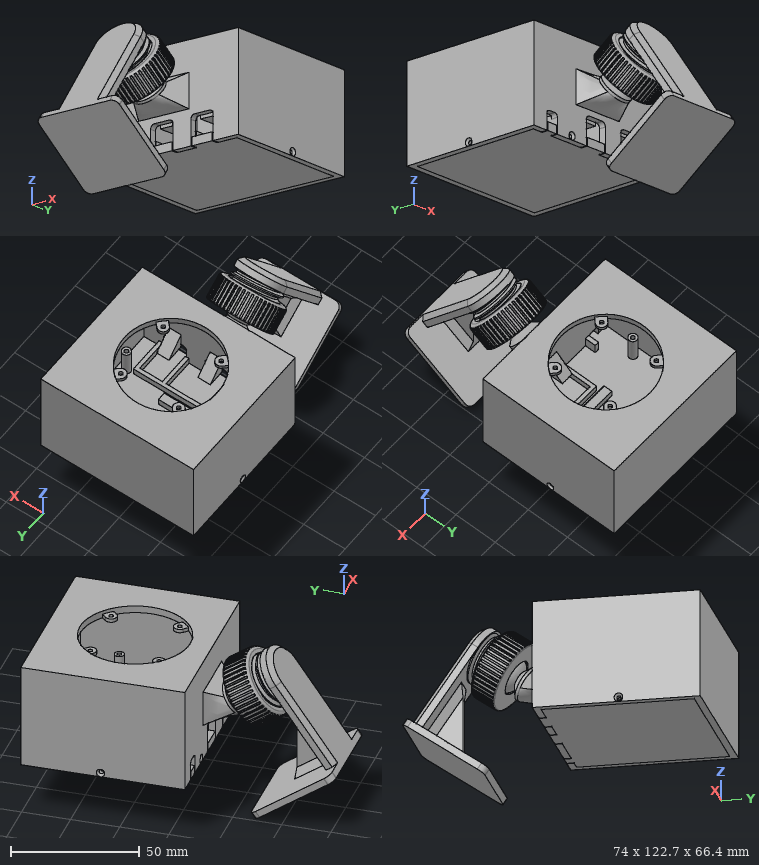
import cadquery as cq
import math

BOX_X = 74.0
BOX_Y = 67.0
BOX_Z = 44.0
WALL = 3.0

WINDOW_D = 45.0
WINDOW_Y = 31.5
TAB_OFFSET = 14.0
TAB_D = 5.0
TAB_THICKNESS = WALL / 2
TAB_HOLE_D = 1.8
TAB_ROOT = 1.0

SLIM_CUTOUT = (-26.4, 6.0, 8.7, 1.6)
PORT_CUTOUTS = (
    (-1.0, 11.0, 12.9, 1.9),
    (19.0, 11.0, 12.9, 1.9),
)
CUTOUTS = (SLIM_CUTOUT, *PORT_CUTOUTS)

GUIDE_THICKNESS = 2.0
GUIDE_REACH = 5.0

HOLD_DOWN_WIDTH = 6.0
HOLD_DOWN_REACH = 8.0
HOLD_DOWN_Z = 11.4

SCREW_HEAD_D = 3.4
SCREW_HOLE_D = 1.7
SCREW_HEAD_DEPTH = 1.0
SCREW_Z = 1.8
SIDE_SCREW_Y = 34.4
FRONT_SCREW_X = -14.8
SCREW_DEPTH = 8.0

LID_THICKNESS = 3.7
TONGUE_GAP = 0.5

POST_D = 4.0
POST_HOLE_D = 1.8
POST_HOLE_DEPTH = 8.0
POST_TOP_Z = 16.0
POST_SPACING_X = 60.0
POST_SPACING_Y = 27.0

FRAME_TOP_Z = 6.8
FRAME_WALL = 1.8
FRAME_BACK_Y = 19.9
FRAME_LEFT_X = -8.1
WIDE_POCKET = 18.5
PORT_POCKET = 10.9

STOP_X = 20.2
STOP_Y = 4.2
STOP_BACK_Y = 26.0
STOP_CHAMFER = 0.4

TILT = 35.0
PIVOT_Y = -18.69
PIVOT_Z = 29.66
AXIS = (0, -math.cos(math.radians(TILT)), math.sin(math.radians(TILT)))
JOINT = cq.Plane(origin=(0, PIVOT_Y, PIVOT_Z), xDir=(1, 0, 0), normal=AXIS)

FOOT_X = 25.0
FOOT_Z = 15.0
FOOT_CENTRE_Z = 23.0
BALL_D = 17.6
DISC_D = 14.93
DISC_BACK = -11.9
DISC_FRONT = -10.6
WAIST_Z = -7.8

NUT_D = 30.0
NUT_BACK = -5.9
NUT_FRONT = 5.9
NUT_FILLET = 1.8
NUT_BACK_FILLET = 0.5
NUT_BORE_D = 23.0
NUT_BACK_HOLE_D = 14.93
NUT_BACK_WALL = 2.0
KNURL_COUNT = 48
KNURL_WIDTH = 0.8
KNURL_DEPTH = 0.6
KNURL_FRONT_MARGIN = 0.9

SOCKET_D = 19.3
SOCKET_BACK = 0.0
CAVITY_D = 18.34
THREAD_D = 22.64
THREAD_PITCH = 3.0
THREAD_ROOT_WIDTH = 2.4
THREAD_CREST_WIDTH = 0.6
THREAD_START = 1.2
THREAD_LENGTH = 10.0
THREAD_ROOT_OVERLAP = 0.3
ARM_BACK = 10.3
ARM_THICKNESS = 5.0
ARM_FRONT = ARM_BACK + ARM_THICKNESS
ARM_WIDTH = 23.0
ARM_CHAMFER = 2.0
ARM_END_RISE = 0.4
ARM_LENGTH = 43.0
BASE_BOTTOM = ARM_END_RISE - ARM_LENGTH
BASE_SIZE = 40.0
BASE_THICKNESS = 3.0
BASE_RADIUS = 3.0
RIB_THICKNESS = 3.0
RIB_FLARE = 3.0
RIB_END_Y = -34.9


def box_between(x0, x1, y0, y1, z0, z1):
    return cq.Workplane("XY").box(x1 - x0, y1 - y0, z1 - z0, centered=False).translate((x0, y0, z0))


def place_in_joint(shape):
    """Move a shape built in the joint frame to its place on the part."""
    return shape.val().moved(cq.Location(JOINT))


def lid_screw_holes():
    """Countersunk screw holes reaching from the walls into the lid."""
    half_x = BOX_X / 2
    places = [
        (cq.Vector(-half_x, SIDE_SCREW_Y, SCREW_Z), cq.Vector(1, 0, 0)),
        (cq.Vector(half_x, SIDE_SCREW_Y, SCREW_Z), cq.Vector(-1, 0, 0)),
        (cq.Vector(FRONT_SCREW_X, 0, SCREW_Z), cq.Vector(0, 1, 0)),
    ]
    holes = cq.Workplane("XY")
    for point, inward in places:
        head = cq.Solid.makeCone(SCREW_HEAD_D / 2, SCREW_HOLE_D / 2, SCREW_HEAD_DEPTH, point, inward)
        shank = cq.Solid.makeCylinder(SCREW_HOLE_D / 2, SCREW_DEPTH, point, inward)
        holes = holes.add(head.fuse(shank))
    return holes.combine()


def screw_tabs():
    """Four rounded tabs pointing from the window rim to its centre."""
    tab_z = BOX_Z - WALL
    radius = TAB_OFFSET * math.sqrt(2)
    overlap = WINDOW_D / 2 + TAB_ROOT - radius
    tabs = cq.Workplane("XY")
    for angle in (45, 135, 225, 315):
        root = cq.Workplane("XY").center(radius + overlap / 2, 0).rect(overlap, TAB_D).extrude(TAB_THICKNESS)
        hole = cq.Workplane("XY").center(radius, 0).circle(TAB_HOLE_D / 2).extrude(TAB_THICKNESS)
        tab = cq.Workplane("XY").center(radius, 0).circle(TAB_D / 2).extrude(TAB_THICKNESS).union(root).cut(hole)
        tabs = tabs.add(tab.rotate((0, 0, 0), (0, 0, 1), angle).translate((0, WINDOW_Y, tab_z)))
    return tabs


def front_cutout(centre_x, width, height, radius):
    opening = box_between(centre_x - width / 2, centre_x + width / 2, 0, WALL, 0, height)
    return opening.edges("|Y and >Z").fillet(radius)


def hold_down(centre_x):
    """Wedge on the inside of the front wall, flat below and sloping above."""
    return (
        cq.Workplane("YZ")
        .moveTo(WALL, HOLD_DOWN_Z)
        .line(HOLD_DOWN_REACH, 0)
        .line(-HOLD_DOWN_REACH, HOLD_DOWN_REACH)
        .close()
        .extrude(HOLD_DOWN_WIDTH / 2, both=True)
        .translate((centre_x, 0, 0))
    )


def cable_guide():
    centre_x, width, height, _ = SLIM_CUTOUT
    side_x = centre_x + width / 2
    return box_between(side_x, side_x + GUIDE_THICKNESS, WALL, WALL + GUIDE_REACH, LID_THICKNESS, height)


def make_housing():
    half_x = BOX_X / 2
    housing = box_between(-half_x, half_x, 0, BOX_Y, 0, BOX_Z)
    housing = housing.cut(box_between(-half_x + WALL, half_x - WALL, WALL, BOX_Y - WALL, 0, BOX_Z - WALL))
    window = cq.Workplane("XY").center(0, WINDOW_Y).circle(WINDOW_D / 2).extrude(BOX_Z)
    housing = housing.cut(window)
    for tab in screw_tabs().vals():
        housing = housing.union(cq.Workplane(tab))
    for centre_x, _, _, _ in PORT_CUTOUTS:
        housing = housing.union(hold_down(centre_x))
    housing = housing.union(cable_guide())
    for cutout in CUTOUTS:
        housing = housing.cut(front_cutout(*cutout))
    return housing.cut(lid_screw_holes())


def board_frame():
    """Frame walls around a wide pocket and a port pocket, both open to the front."""
    wide_left = FRAME_LEFT_X + FRAME_WALL
    wide_right = wide_left + WIDE_POCKET
    port_left = wide_right + FRAME_WALL
    port_right = port_left + PORT_POCKET
    pocket_back = FRAME_BACK_Y - FRAME_WALL
    frame = box_between(FRAME_LEFT_X, port_right + FRAME_WALL, WALL, FRAME_BACK_Y, LID_THICKNESS, FRAME_TOP_Z)
    for left, right in ((wide_left, wide_right), (port_left, port_right)):
        frame = frame.cut(box_between(left, right, WALL, pocket_back, LID_THICKNESS, FRAME_TOP_Z))
    return frame


def make_lid():
    half_x = BOX_X / 2 - WALL
    lid = box_between(-half_x, half_x, WALL, BOX_Y - WALL, 0, LID_THICKNESS)
    for centre_x, width, _, _ in CUTOUTS:
        half = width / 2 - TONGUE_GAP
        lid = lid.union(box_between(centre_x - half, centre_x + half, 0, WALL, 0, LID_THICKNESS))
    lid = lid.union(board_frame())
    stop = box_between(-STOP_X / 2, STOP_X / 2, STOP_BACK_Y - STOP_Y, STOP_BACK_Y, LID_THICKNESS, FRAME_TOP_Z)
    lid = lid.union(stop.edges(">Z and <Y").chamfer(STOP_CHAMFER))
    posts = (
        cq.Workplane("XY")
        .center(0, BOX_Y / 2)
        .rect(POST_SPACING_X, POST_SPACING_Y, forConstruction=True)
        .vertices()
    )
    lid = lid.union(posts.circle(POST_D / 2).extrude(POST_TOP_Z))
    holes = posts.circle(POST_HOLE_D / 2).extrude(POST_HOLE_DEPTH)
    lid = lid.cut(holes.translate((0, 0, POST_TOP_Z - POST_HOLE_DEPTH)))
    return lid.cut(lid_screw_holes())


def foot_to_disc():
    """Straight-lined loft from the rectangular foot to the back of the tilted disc."""
    right, top = FOOT_X / 2, FOOT_Z / 2
    corners = [(right, top), (-right, top), (-right, -top), (right, -top)]
    foot = cq.Wire.makePolygon([cq.Vector(x, 0, FOOT_CENTRE_Z + z) for x, z in corners], close=True)

    corner_angle = math.degrees(math.atan2(top, right))
    splits = [corner_angle, 180 - corner_angle, 180 + corner_angle, 360 - corner_angle, 360 + corner_angle]

    def rim(angle):
        turn = math.radians(angle)
        return JOINT.toWorldCoords((DISC_D / 2 * math.cos(turn), DISC_D / 2 * math.sin(turn), DISC_BACK))

    arcs = [
        cq.Edge.makeThreePointArc(rim(start), rim((start + end) / 2), rim(end))
        for start, end in zip(splits, splits[1:])
    ]
    return cq.Solid.makeLoft([foot, cq.Wire.assembleEdges(arcs)], True)


def make_ball_mount():
    ball_radius = BALL_D / 2
    waist_radius = math.sqrt(ball_radius**2 - WAIST_Z**2)
    stem = (
        cq.Workplane("XZ")
        .moveTo(0, DISC_BACK)
        .lineTo(DISC_D / 2, DISC_BACK)
        .lineTo(DISC_D / 2, DISC_FRONT)
        .lineTo(waist_radius, WAIST_Z)
        .threePointArc((ball_radius, 0), (0, ball_radius))
        .close()
        .revolve(360, (0, 0, 0), (0, 1, 0))
    )
    return cq.Workplane(foot_to_disc()).union(cq.Workplane(place_in_joint(stem)))


def make_nut():
    length = NUT_FRONT - NUT_BACK
    back = cq.Workplane("XY").workplane(offset=NUT_BACK)
    nut = back.circle(NUT_D / 2).extrude(length)
    nut = nut.faces(">Z").edges().fillet(NUT_FILLET)
    nut = nut.faces("<Z").edges().fillet(NUT_BACK_FILLET)
    grooves = (
        back.workplane(offset=NUT_BACK_FILLET)
        .polarArray(NUT_D / 2, 0, 360, KNURL_COUNT)
        .rect(2 * KNURL_DEPTH, KNURL_WIDTH)
        .extrude(length - NUT_BACK_FILLET - KNURL_FRONT_MARGIN)
    )
    bore = back.workplane(offset=NUT_BACK_WALL).circle(NUT_BORE_D / 2).extrude(length)
    back_hole = back.circle(NUT_BACK_HOLE_D / 2).extrude(length)
    ball_seat = cq.Workplane("XY").sphere(CAVITY_D / 2)
    nut = nut.cut(grooves).cut(bore).cut(back_hole).cut(ball_seat)
    return place_in_joint(nut)


def thread_ridge():
    """Helical ridge around the socket, running out inside the arm."""
    root = SOCKET_D / 2
    inner = root - THREAD_ROOT_OVERLAP
    crest = THREAD_D / 2
    path = cq.Wire.makeHelix(THREAD_PITCH, THREAD_LENGTH, root)
    profile = (
        cq.Workplane("XZ")
        .moveTo(inner, -THREAD_ROOT_WIDTH / 2)
        .lineTo(crest, -THREAD_CREST_WIDTH / 2)
        .lineTo(crest, THREAD_CREST_WIDTH / 2)
        .lineTo(inner, THREAD_ROOT_WIDTH / 2)
        .close()
    )
    ridge = profile.sweep(cq.Workplane(path), isFrenet=True)
    return ridge.translate((0, 0, THREAD_START))


def make_socket():
    socket = cq.Workplane("XY").workplane(offset=SOCKET_BACK).circle(SOCKET_D / 2)
    socket = socket.extrude(ARM_BACK - SOCKET_BACK)
    socket = socket.union(thread_ridge())
    return socket.cut(cq.Workplane("XY").sphere(CAVITY_D / 2))


def make_arm():
    """Round-ended arm whose front edges are chamfered."""
    half = ARM_WIDTH / 2
    return (
        cq.Workplane("XY")
        .workplane(offset=ARM_BACK)
        .moveTo(-half, BASE_BOTTOM)
        .lineTo(-half, ARM_END_RISE)
        .threePointArc((0, ARM_END_RISE + half), (half, ARM_END_RISE))
        .lineTo(half, BASE_BOTTOM)
        .close()
        .extrude(ARM_THICKNESS)
        .faces(">Z")
        .edges("not <Y")
        .chamfer(ARM_CHAMFER)
    )


def make_base():
    half = BASE_SIZE / 2
    top = BASE_BOTTOM + BASE_THICKNESS
    base = box_between(-half, half, BASE_BOTTOM, top, ARM_FRONT - BASE_SIZE, ARM_FRONT)
    return base.edges("|Y").fillet(BASE_RADIUS)


def make_rib():
    """Rib in the inner corner with flared roots, cut off on an upright plane."""
    corner_y = BASE_BOTTOM + BASE_THICKNESS
    reach = BASE_SIZE
    half = RIB_THICKNESS / 2
    web = box_between(-half, half, corner_y, corner_y + reach, ARM_BACK - reach, ARM_BACK)
    on_arm = (
        cq.Workplane("XZ", origin=(0, corner_y, 0))
        .moveTo(-half - RIB_FLARE, ARM_BACK)
        .lineTo(half + RIB_FLARE, ARM_BACK)
        .lineTo(half, ARM_BACK - RIB_FLARE)
        .lineTo(-half, ARM_BACK - RIB_FLARE)
        .close()
        .extrude(-reach)
    )
    on_base = (
        cq.Workplane("XY", origin=(0, 0, ARM_BACK))
        .moveTo(-half - RIB_FLARE, corner_y)
        .lineTo(half + RIB_FLARE, corner_y)
        .lineTo(half, corner_y + RIB_FLARE)
        .lineTo(-half, corner_y + RIB_FLARE)
        .close()
        .extrude(-reach)
    )
    rib = web.union(on_arm).union(on_base)
    placed = cq.Workplane(place_in_joint(rib))
    keep = box_between(-reach, reach, RIB_END_Y - reach, RIB_END_Y, PIVOT_Z - 2 * reach, PIVOT_Z + reach)
    return placed.intersect(keep)


def make_bracket():
    body = make_arm().union(make_base()).union(make_socket())
    return cq.Workplane(place_in_joint(body)).union(make_rib())


housing = make_housing()
lid = make_lid()
ball_mount = make_ball_mount()
nut = make_nut()
bracket = make_bracket()

result = cq.Compound.makeCompound([housing.val(), lid.val(), ball_mount.val(), nut, bracket.val()])